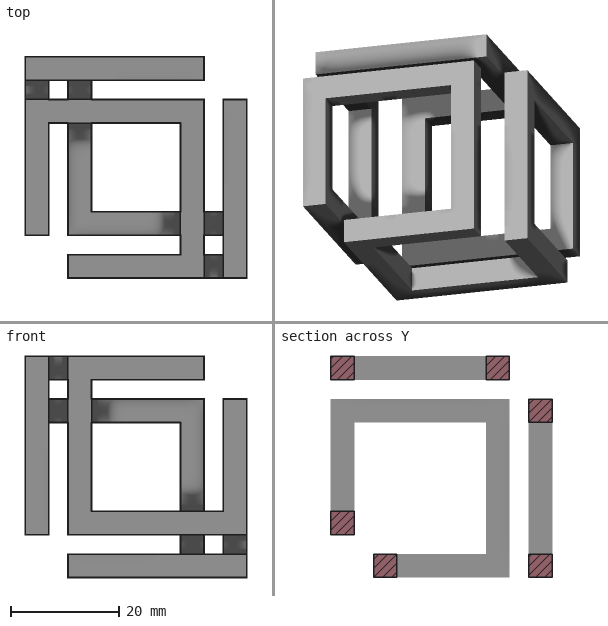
import cadquery as cq

overall_size = 40.93
bar_width = 4.37
gap = 3.53

pitch = bar_width + gap
levels = [
    0,
    pitch,
    overall_size - bar_width - pitch,
    overall_size - bar_width,
]

corners = [
    (2, 2, 3),
    (0, 2, 3),
    (0, 1, 3),
    (0, 1, 1),
    (0, 3, 1),
    (0, 3, 2),
    (2, 3, 2),
    (2, 3, 0),
    (1, 3, 0),
    (1, 1, 0),
    (3, 1, 0),
    (3, 2, 0),
    (3, 2, 2),
    (3, 0, 2),
    (3, 0, 1),
    (1, 0, 1),
    (1, 0, 3),
    (2, 0, 3),
]


def bar_between(corner_a, corner_b):
    """Square bar that fills both corner cubes and the run between them."""
    spans = [sorted((levels[a], levels[b])) for a, b in zip(corner_a, corner_b)]
    lows = [low for low, high in spans]
    sizes = [high - low + bar_width for low, high in spans]
    return cq.Workplane("XY").box(*sizes, centered=False).translate(tuple(lows))


def closed_loop():
    """Join the bars between successive corners, returning to the first."""
    loop = bar_between(corners[-1], corners[0])
    for corner, next_corner in zip(corners, corners[1:]):
        loop = loop.union(bar_between(corner, next_corner))
    return loop.clean()


result = closed_loop()